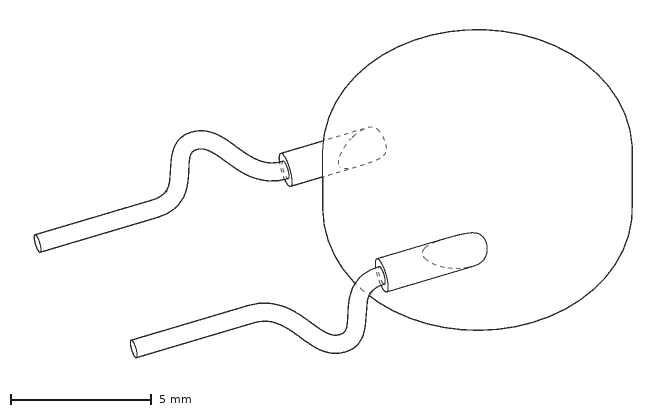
import cadquery as cq
import math

disc_diameter = 11.0
disc_thickness = 5.0
disc_edge_radius = 1.0

overall_length = 20.5
overall_width = 14.86
overall_height = 5.1
lead_diameter = 0.65
lead_spacing = 9.2
kink_half_length = 2.5
kink_root_handle = 1.65
kink_peak_handle = 1.13

sleeve_diameter = 1.23
sleeve_straight_length = 3.15
sleeve_bend_radius = 1.02
sleeve_bend_direction = 45

disc_radius = disc_diameter / 2
lead_x = lead_spacing / 2
lead_z = overall_height / 2 - sleeve_diameter / 2
sleeve_end_y = -disc_radius
lead_tip_y = disc_radius - overall_length
kink_peak_x = overall_width / 2 - lead_diameter / 2
kink_peak_y = sleeve_end_y - kink_half_length
kink_end_y = kink_peak_y - kink_half_length

side_angles = (0, 180)


def turn_to_side(shape, angle):
    return shape.rotate((0, 0, 0), (0, 1, 0), angle)


def make_disc():
    disc = cq.Workplane("XY", origin=(0, 0, -disc_thickness / 2)).circle(disc_radius).extrude(disc_thickness)
    return disc.faces("|Z").edges().fillet(disc_edge_radius)


def make_sleeve():
    """Round sleeve running +Y along the lead, then a quarter bend inward and down into the disc."""
    profile = cq.Workplane("XZ", origin=(lead_x, sleeve_end_y, lead_z)).circle(sleeve_diameter / 2)
    straight = profile.extrude(-sleeve_straight_length)

    bend_angle = math.radians(sleeve_bend_direction)
    bend_plane = cq.Plane(
        origin=(lead_x, sleeve_end_y + sleeve_straight_length, lead_z),
        xDir=(-math.cos(bend_angle), 0, -math.sin(bend_angle)),
        normal=(0, 1, 0),
    )
    bend_axis_start = (sleeve_bend_radius, 0)
    bend_axis_end = (sleeve_bend_radius, 1)
    bend = cq.Workplane(bend_plane).circle(sleeve_diameter / 2).revolve(90, bend_axis_start, bend_axis_end)
    return straight.union(bend)


def make_coated_body():
    body = make_disc()
    sleeve = make_sleeve()
    for angle in side_angles:
        body = body.union(turn_to_side(sleeve, angle))
    return body


def make_lead():
    """Round wire from the sleeve end, kinked outward and back, then straight to its tip."""
    kink_out = [
        (lead_x, sleeve_end_y),
        (lead_x, sleeve_end_y - kink_root_handle),
        (kink_peak_x, kink_peak_y + kink_peak_handle),
        (kink_peak_x, kink_peak_y),
    ]
    kink_back = [(x, 2 * kink_peak_y - y) for x, y in reversed(kink_out)]
    path = (
        cq.Workplane("XY", origin=(0, 0, lead_z))
        .moveTo(lead_x, sleeve_end_y)
        .bezier(kink_out)
        .bezier(kink_back)
        .lineTo(lead_x, lead_tip_y)
    )
    profile = cq.Workplane("XZ", origin=(lead_x, sleeve_end_y, lead_z)).circle(lead_diameter / 2)
    return profile.sweep(path)


coated_body = make_coated_body()
lead = make_lead()
leads = [turn_to_side(lead, angle) for angle in side_angles]

result = cq.Compound.makeCompound([coated_body.val(), *[wire.val() for wire in leads]])